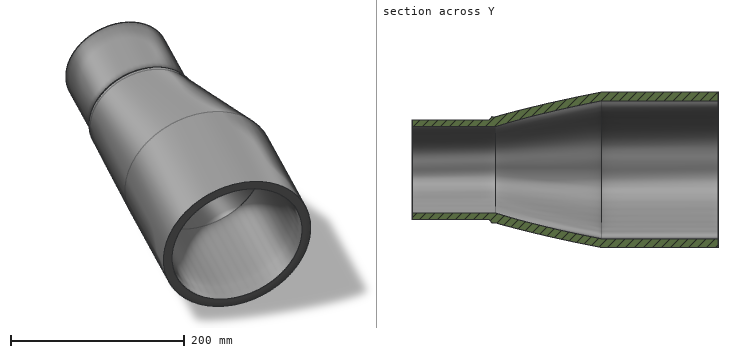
import cadquery as cq

total_length = 353.0
large_diameter = 180.0
small_diameter = 125.0
collar_diameter = 132.0
small_wall = 7.5
large_wall = 10.5
small_length = 88.5
collar_chamfer = 3.2
collar_end = 96.0
cone_end = 218.0

small_axis_y = -(large_diameter - collar_diameter) / 2


def frustum(start_x, end_x, start_diameter, end_diameter, start_y, end_y):
    """Solid between two circles that face along X."""
    return (
        cq.Workplane("YZ", origin=(start_x, 0, 0))
        .center(start_y, 0)
        .circle(start_diameter / 2)
        .workplane(offset=end_x - start_x)
        .center(end_y - start_y, 0)
        .circle(end_diameter / 2)
        .loft(ruled=True)
    )


def cylinder(start_x, end_x, diameter, axis_y):
    """Straight round bar along X."""
    return (
        cq.Workplane("YZ", origin=(start_x, axis_y, 0))
        .circle(diameter / 2)
        .extrude(end_x - start_x)
    )


def reducer_body(small_end_diameter, cone_start_diameter, large_end_diameter):
    """Small cylinder, eccentric cone and large cylinder in a row."""
    small = cylinder(0, collar_end, small_end_diameter, small_axis_y)
    cone = frustum(collar_end, cone_end, cone_start_diameter, large_end_diameter, small_axis_y, 0)
    large = cylinder(cone_end, total_length, large_end_diameter, 0)
    return small.union(cone).union(large)


def collar():
    """Raised ring with a sloped front edge where the small pipe meets the cone."""
    ring_start = small_length + collar_chamfer
    edge = frustum(small_length, ring_start, small_diameter, collar_diameter, small_axis_y, small_axis_y)
    ring = cylinder(ring_start, collar_end, collar_diameter, small_axis_y)
    return edge.union(ring)


small_bore = small_diameter - 2 * small_wall
large_bore = large_diameter - 2 * large_wall

outside = reducer_body(small_diameter, collar_diameter, large_diameter).union(collar())
bore = reducer_body(small_bore, small_bore, large_bore)
result = outside.cut(bore)